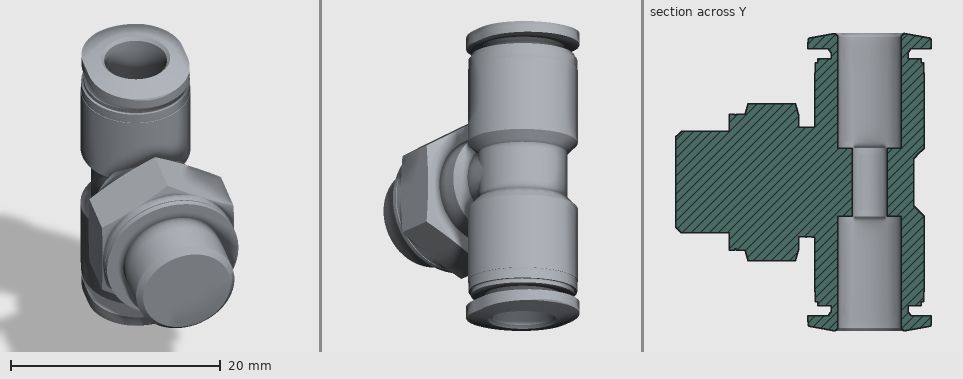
import cadquery as cq
import math

core_diameter = 8.5
body_diameter = 10.5
body_taper = 1.0
body_taper_start = 2.25
body_end = 10.4
sleeve_diameter = 10.4
sleeve_end = 11.4
ring_diameter = 9.9
ring_end = 11.8
neck_diameter = 7.4
neck_flare_start = 12.35
neck_flare = 0.25

collar_base = 12.7
run_half_length = 14.2
collar_width = 9.8
collar_length = 11.8
collar_dome_drop = 0.45
collar_tip_bevel = 0.1
collar_tip_drop = 0.62

socket_diameter = 6.0
socket_floor = body_taper_start + body_taper
socket_chamfer = 0.3
passage_diameter = 3.3

branch_taper_start = 3.15
hex_start = 6.75
hex_end = 11.9
hex_across_flats = 13.0
hex_bevel_circle = 12.9
hex_bevel_angle = 16.0
washer_diameter = 13.0
washer_end = 13.4
washer_groove_position = 12.8
washer_groove_width = 0.1
washer_groove_depth = 0.1
stud_diameter = 9.73
stud_end = 18.5
stud_chamfer = 0.55

core_radius = core_diameter / 2
body_radius = body_diameter / 2
neck_radius = neck_diameter / 2
socket_mouth_radius = socket_diameter / 2 + socket_chamfer


def revolve_about_z(outline):
    """Revolve (radius, height) points about the Z axis."""
    return cq.Workplane("XZ").polyline(outline).close().revolve(360, (0, 0), (0, 1))


def revolve_about_x(outline):
    """Revolve (position, radius) points about the X axis."""
    return cq.Workplane("XY").polyline(outline).close().revolve(360, (0, 0), (1, 0))


def make_port():
    """Upper half of the run, from the middle of the tee up to the collar."""
    return revolve_about_z([
        (0, 0),
        (core_radius, 0),
        (core_radius, body_taper_start),
        (body_radius, body_taper_start + body_taper),
        (body_radius, body_end),
        (sleeve_diameter / 2, body_end),
        (sleeve_diameter / 2, sleeve_end),
        (ring_diameter / 2, sleeve_end),
        (ring_diameter / 2, ring_end),
        (neck_radius, ring_end),
        (neck_radius, neck_flare_start),
        (neck_radius + neck_flare, collar_base),
        (0, collar_base),
    ])


def make_collar():
    """Oblong release collar with a shallow conical top, bevelled at its two far tips."""
    tip_radius = collar_length / 2
    height = run_half_length - collar_base
    oblong = cq.Workplane("XY", origin=(0, 0, collar_base)).slot2D(collar_length, collar_width).extrude(height)
    dome = revolve_about_z([
        (0, collar_base),
        (tip_radius, collar_base),
        (tip_radius, run_half_length - collar_tip_drop),
        (tip_radius - collar_tip_bevel, run_half_length - collar_dome_drop),
        (socket_mouth_radius, run_half_length),
        (0, run_half_length),
    ])
    return oblong.intersect(dome)


def make_socket():
    """Cutter for a tube socket with a chamfered mouth."""
    return revolve_about_z([
        (0, socket_floor),
        (socket_diameter / 2, socket_floor),
        (socket_diameter / 2, run_half_length - socket_chamfer),
        (socket_mouth_radius, run_half_length),
        (0, run_half_length),
    ])


def make_hex():
    """Hexagon with corners up and down, bevelled at both ends."""
    across_corners = hex_across_flats / math.cos(math.radians(30))
    corner_radius = across_corners / 2
    bevel_radius = hex_bevel_circle / 2
    bevel_length = (corner_radius - bevel_radius) * math.tan(math.radians(hex_bevel_angle))
    prism = (
        cq.Workplane("YZ", origin=(hex_start, 0, 0))
        .transformed(rotate=(0, 0, 90))
        .polygon(6, across_corners)
        .extrude(hex_end - hex_start)
    )
    envelope = revolve_about_x([
        (hex_start, 0),
        (hex_start, bevel_radius),
        (hex_start + bevel_length, corner_radius),
        (hex_end - bevel_length, corner_radius),
        (hex_end, bevel_radius),
        (hex_end, 0),
    ])
    return prism.intersect(envelope)


def make_branch():
    """Round parts of the branch: taper, shank, grooved washer and stud."""
    washer_radius = washer_diameter / 2
    groove_radius = washer_radius - washer_groove_depth
    groove_start = washer_groove_position - washer_groove_width / 2
    groove_end = washer_groove_position + washer_groove_width / 2
    stud_radius = stud_diameter / 2
    return revolve_about_x([
        (0, 0),
        (0, core_radius),
        (branch_taper_start, core_radius),
        (branch_taper_start + body_taper, body_radius),
        (hex_end, body_radius),
        (hex_end, washer_radius),
        (groove_start, washer_radius),
        (groove_start, groove_radius),
        (groove_end, groove_radius),
        (groove_end, washer_radius),
        (washer_end, washer_radius),
        (washer_end, stud_radius),
        (stud_end - stud_chamfer, stud_radius),
        (stud_end, stud_radius - stud_chamfer),
        (stud_end, 0),
    ])


upper_run = make_port().union(make_collar())
run = upper_run.union(upper_run.mirror("XY"))
passage = cq.Workplane("XY").circle(passage_diameter / 2).extrude(run_half_length, both=True)
socket = make_socket()

result = run.union(make_branch()).union(make_hex())
result = result.cut(passage).cut(socket).cut(socket.mirror("XY"))